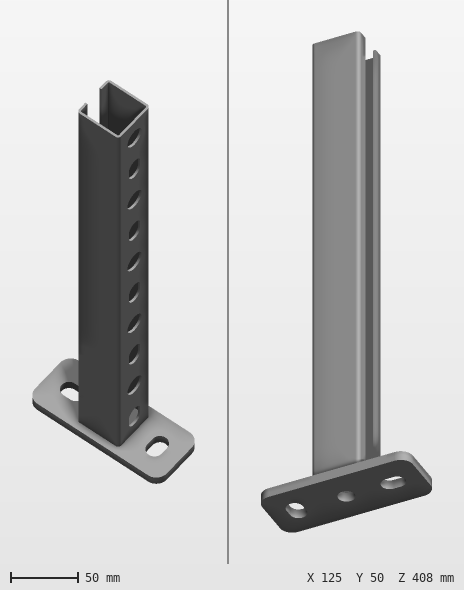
import cadquery as cq

PLATE_LENGTH = 125.0
PLATE_WIDTH = 50.0
PLATE_THICKNESS = 8.0
PLATE_CORNER_RADIUS = 10.0

SLOT_WIDTH = 13.5
SLOT_LENGTH = 20.0

CENTRE_HOLE_DIAMETER = SLOT_WIDTH
LENGTHWISE_SLOT_X = -39.0
CROSSWISE_SLOT_X = 41.5

CHANNEL_DEPTH = 40.0
CHANNEL_WIDTH = 38.0
CHANNEL_HEIGHT = 400.0
WALL = 2.0
OUTER_RADIUS = 3.0
INNER_RADIUS = OUTER_RADIUS - WALL
MOUTH_WIDTH = 17.0

BACK_HOLE_PITCH = 40.0
BACK_HOLE_COUNT = round(CHANNEL_HEIGHT / BACK_HOLE_PITCH)
BACK_HOLE_DIAMETER = 17.0


def make_plate():
    """Rounded base plate with two slots at right angles and a central hole."""
    plate = (
        cq.Workplane("XY")
        .rect(PLATE_LENGTH, PLATE_WIDTH)
        .extrude(PLATE_THICKNESS)
        .edges("|Z")
        .fillet(PLATE_CORNER_RADIUS)
    )
    holes = cq.Workplane("XY").circle(CENTRE_HOLE_DIAMETER / 2).extrude(PLATE_THICKNESS)
    for x, angle in ((LENGTHWISE_SLOT_X, 0), (CROSSWISE_SLOT_X, 90)):
        slot = (
            cq.Workplane("XY")
            .center(x, 0)
            .slot2D(SLOT_LENGTH, SLOT_WIDTH, angle)
            .extrude(PLATE_THICKNESS)
        )
        holes = holes.union(slot)
    return plate.cut(holes)


def rounded_bar(depth, width, radius):
    """Upright rectangular bar with rounded corners, standing on the plate."""
    return (
        cq.Workplane("XY")
        .workplane(offset=PLATE_THICKNESS)
        .rect(depth, width)
        .extrude(CHANNEL_HEIGHT)
        .edges("|Z")
        .fillet(radius)
    )


def make_back_holes():
    """Cutters through the back wall, starting with a slot at the bottom."""
    first_z = PLATE_THICKNESS + BACK_HOLE_PITCH / 2
    centres = [(0, first_z + index * BACK_HOLE_PITCH) for index in range(BACK_HOLE_COUNT)]
    slots = (
        cq.Workplane("YZ")
        .pushPoints(centres[0::2])
        .slot2D(SLOT_LENGTH, SLOT_WIDTH, 90)
        .extrude(CHANNEL_DEPTH / 2)
    )
    round_holes = (
        cq.Workplane("YZ")
        .pushPoints(centres[1::2])
        .circle(BACK_HOLE_DIAMETER / 2)
        .extrude(CHANNEL_DEPTH / 2)
    )
    return slots.union(round_holes)


def make_channel():
    """C-shaped upright with a full-height mouth and a perforated back wall."""
    outside = rounded_bar(CHANNEL_DEPTH, CHANNEL_WIDTH, OUTER_RADIUS)
    inside = rounded_bar(CHANNEL_DEPTH - 2 * WALL, CHANNEL_WIDTH - 2 * WALL, INNER_RADIUS)
    mouth = (
        cq.Workplane("XY")
        .workplane(offset=PLATE_THICKNESS)
        .center(-CHANNEL_DEPTH / 4, 0)
        .rect(CHANNEL_DEPTH / 2, MOUTH_WIDTH)
        .extrude(CHANNEL_HEIGHT)
    )
    return outside.cut(inside).cut(mouth).cut(make_back_holes())


result = make_plate().union(make_channel())